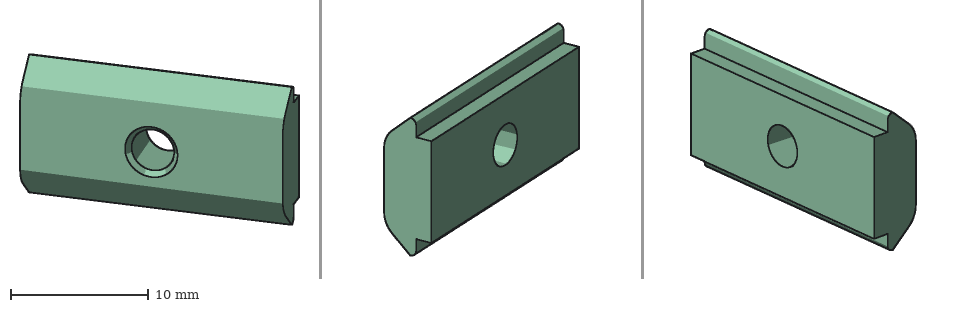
import cadquery as cq
import math

length = 20.0
depth = 4.1
height = 11.0

neck_height = 8.12
neck_depth = 1.32
flat_height = 5.08
shoulder_radius = 2.1
flank_angle = 48.5

hole_diameter = 3.25
countersink_diameter = 4.0
countersink_angle = 90.0


def half_profile():
    """Upper half of the Y-Z cross-section, closed along Z = 0."""
    angle = math.radians(flank_angle)
    shoulder_y = shoulder_radius
    shoulder_z = flat_height / 2
    wing_back = depth - neck_depth

    def on_shoulder(turn):
        return (shoulder_y - shoulder_radius * math.cos(turn), shoulder_z + shoulder_radius * math.sin(turn))

    flank_start = on_shoulder(angle)
    flank_top_y = flank_start[0] + (height / 2 - flank_start[1]) * math.tan(angle)

    tip_radius = wing_back - flank_top_y
    tip_z = height / 2 - tip_radius
    return (
        cq.Workplane("YZ")
        .moveTo(0, 0)
        .lineTo(0, shoulder_z)
        .threePointArc(on_shoulder(angle / 2), flank_start)
        .lineTo(flank_top_y, height / 2)
        .threePointArc(
            (flank_top_y + tip_radius * math.sin(math.pi / 4), tip_z + tip_radius * math.cos(math.pi / 4)),
            (wing_back, tip_z),
        )
        .lineTo(wing_back, neck_height / 2)
        .lineTo(depth, neck_height / 2)
        .lineTo(depth, 0)
        .close()
    )


def countersunk_hole():
    """Cutter along Y: a through cylinder with a cone opening at the front face."""
    cone_depth = (countersink_diameter - hole_diameter) / 2 / math.tan(math.radians(countersink_angle / 2))
    return (
        cq.Workplane("XY")
        .lineTo(countersink_diameter / 2, 0)
        .lineTo(hole_diameter / 2, cone_depth)
        .lineTo(hole_diameter / 2, depth)
        .lineTo(0, depth)
        .close()
        .revolve(360, (0, 0, 0), (0, 1, 0))
    )


upper_half = half_profile().extrude(length / 2, both=True)
bar = upper_half.union(upper_half.mirror("XY"), clean=True)
result = bar.cut(countersunk_hole())